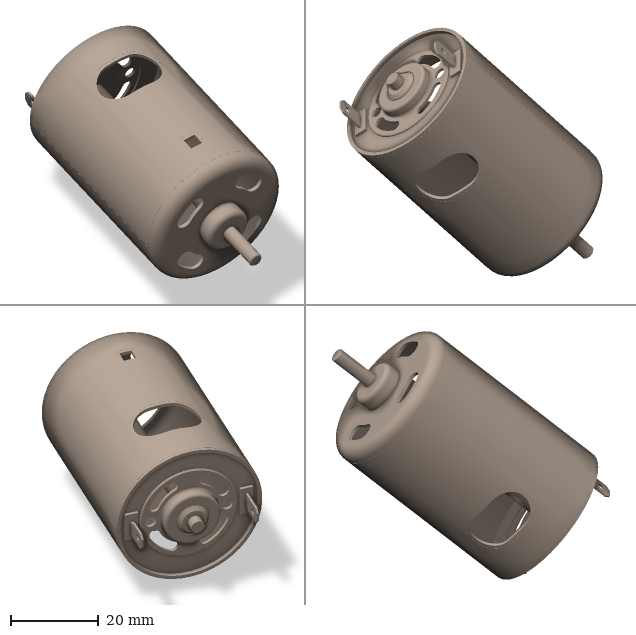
import cadquery as cq
import math


label_radius = 17.75
label_height = 0.035
can_radius = label_radius - label_height
can_wall = 0.85
can_inner_radius = can_radius - can_wall
can_end_x = 50.05
can_end_round = 2.6
nose_radius = 5.5
nose_end_x = 54.0
nose_round = 1.15

label_start_x = 0.8
label_end_x = 46.6
label_gap = 0.65
label_margin = 0.8

window_x = 14.25
window_width = 10.0
window_length = 16.0
square_hole_x = 39.5
square_hole_side = 3.0
front_vent_radius = 11.6
front_vent_width = 4.1
front_vent_half_angle = 11.0

bell_face_x = 1.0
bell_thickness = 0.7
bell_inner_x = bell_face_x + bell_thickness

pad_width = 3.1
pad_height = 7.1
pad_thickness = 0.7
terminal_offset = 14.05

plate_radius = 11.9
plate_rise = 0.5
plate_thickness = 0.7
plate_chamfer = 0.2
plate_face_x = bell_face_x - plate_rise
plate_inner_x = plate_face_x + plate_thickness
boss_radius = 6.8
boss_end_x = -2.15
boss_round = 0.65
boss_root_round = 0.4
hub_base_radius = 3.8
hub_tip_radius = 2.9
hub_end_x = -2.9
hub_groove_radius = 4.05
hub_groove_depth = 0.2

vent_radius = 9.3
vent_width = 2.6
vent_half_angle = 20.0
vent_angles = (45, 135, 225, 315)
round_hole_offset = 9.35
round_hole_diameter = 2.7

shaft_radius = 1.65
shaft_start_x = -5.3
shaft_end_x = 64.6
shaft_drive_chamfer = 0.2
shaft_tail_chamfer = 0.1
shaft_flat_start_x = 54.6
shaft_flat_depth = 0.2

terminal_tip_x = -6.7
terminal_width = 4.1
terminal_thickness = 0.5
terminal_corner = 1.0
terminal_hole_diameter = 1.6
terminal_hole_x = -4.1
terminal_shoulder_x = -0.8
terminal_notch = 0.65


def cylinder(radius, start_x, end_x):
    """Solid cylinder on the motor axis."""
    return cq.Workplane("YZ", origin=(start_x, 0, 0)).circle(radius).extrude(end_x - start_x)


def arc_slot(radius, width, half_angle, mid_angle, start_x, end_x):
    """Cutter for a round-ended slot that follows a circle about the motor axis."""

    def point(r, angle):
        a = math.radians(mid_angle + angle)
        return (r * math.cos(a), r * math.sin(a))

    outer = radius + width / 2
    inner = radius - width / 2
    end_overrun = math.degrees(width / 2 / radius)
    return (
        cq.Workplane("YZ", origin=(start_x, 0, 0))
        .moveTo(*point(outer, -half_angle))
        .threePointArc(point(outer, 0), point(outer, half_angle))
        .threePointArc(point(radius, half_angle + end_overrun), point(inner, half_angle))
        .threePointArc(point(inner, 0), point(inner, -half_angle))
        .threePointArc(point(radius, -half_angle - end_overrun), point(outer, -half_angle))
        .close()
        .extrude(end_x - start_x)
    )


def window_cutter(margin):
    """Slot through the top and bottom of the can, widened by a margin."""
    return (
        cq.Workplane("XY", origin=(window_x, 0, 0))
        .slot2D(window_length + 2 * margin, window_width + 2 * margin, 90)
        .extrude(label_radius + 0.7, both=True)
    )


def square_cutter(margin):
    """Square opening through the top of the can, widened by a margin."""
    side = square_hole_side + 2 * margin
    return cq.Workplane("XY", origin=(square_hole_x, 0, 0)).rect(side, side).extrude(label_radius + 0.7)


def make_label_band():
    """Thin raised band with clearances round the openings and a gap on the -Y side."""
    band = cylinder(label_radius, label_start_x, label_end_x)
    band = band.cut(cylinder(can_radius - can_wall / 2, label_start_x, label_end_x))
    gap = cq.Workplane("XZ").rect(2 * can_end_x, label_gap).extrude(label_radius + 0.7)
    return band.cut(window_cutter(label_margin)).cut(square_cutter(label_margin)).cut(gap)


def make_can():
    """Drawn can with a bearing nose, openings and the raised label band."""
    can = cylinder(can_radius, 0, can_end_x).faces(">X").edges().fillet(can_end_round)
    can = can.cut(
        cylinder(can_inner_radius, 0, can_end_x - can_wall)
        .faces(">X").edges().fillet(can_end_round - can_wall)
    )
    nose = cylinder(nose_radius, can_end_x - can_wall, nose_end_x).faces(">X").edges().fillet(nose_round)
    can = can.union(nose).union(make_label_band())
    can = can.cut(window_cutter(0)).cut(square_cutter(0))
    for angle in vent_angles:
        can = can.cut(
            arc_slot(
                front_vent_radius, front_vent_width, front_vent_half_angle, angle,
                can_end_x - 2 * can_wall, can_end_x + can_wall,
            )
        )
    return can.cut(cylinder(shaft_radius, 0, nose_end_x))


def make_terminal():
    """Flat terminal at -Y: chamfered tip, cross hole, and a shank notched at the bottom."""
    half = terminal_width / 2
    blade = (
        cq.Workplane("XZ", origin=(0, terminal_thickness / 2 - terminal_offset, 0))
        .moveTo(terminal_tip_x, half - terminal_corner)
        .lineTo(terminal_tip_x + terminal_corner, half)
        .lineTo(bell_inner_x, half)
        .lineTo(bell_inner_x, terminal_notch - half)
        .lineTo(terminal_shoulder_x, terminal_notch - half)
        .lineTo(terminal_shoulder_x, -half)
        .lineTo(terminal_tip_x + terminal_corner, -half)
        .lineTo(terminal_tip_x, terminal_corner - half)
        .close()
        .extrude(terminal_thickness)
    )
    hole = (
        cq.Workplane("XZ", origin=(terminal_hole_x, 0, 0))
        .circle(terminal_hole_diameter / 2)
        .extrude(2 * terminal_offset)
    )
    return blade.cut(hole)


def make_end_bell(terminals):
    """Ring inside the can with two terminal pads and a slot for each terminal."""
    bell = cylinder(can_inner_radius, bell_face_x, bell_inner_x)
    pads = (
        cq.Workplane("YZ", origin=(bell_face_x - pad_thickness, 0, 0))
        .pushPoints([(-terminal_offset, 0), (terminal_offset, 0)])
        .rect(pad_width, pad_height)
        .extrude(pad_thickness)
    )
    bell = bell.union(pads).cut(cylinder(plate_radius, bell_face_x, bell_inner_x))
    for terminal in terminals:
        bell = bell.cut(terminal)
    return bell


def make_bearing_plate():
    """Vented turned plate: chamfered rim, rounded boss and a tapered hub with a groove at its foot."""
    diagonal = math.sqrt(0.5)
    root_x = plate_face_x - boss_root_round
    root_radius = boss_radius + boss_root_round
    shoulder_x = boss_end_x + boss_round
    shoulder_radius = boss_radius - boss_round
    groove_x = boss_end_x + hub_groove_depth
    plate = (
        cq.Workplane("XY")
        .moveTo(plate_inner_x, shaft_radius)
        .lineTo(plate_inner_x, plate_radius)
        .lineTo(plate_face_x + plate_chamfer, plate_radius)
        .lineTo(plate_face_x, plate_radius - plate_chamfer)
        .lineTo(plate_face_x, root_radius)
        .threePointArc(
            (root_x + boss_root_round * diagonal, root_radius - boss_root_round * diagonal),
            (root_x, boss_radius),
        )
        .lineTo(shoulder_x, boss_radius)
        .threePointArc(
            (shoulder_x - boss_round * diagonal, shoulder_radius + boss_round * diagonal),
            (boss_end_x, shoulder_radius),
        )
        .lineTo(boss_end_x, hub_groove_radius)
        .lineTo(groove_x, hub_groove_radius)
        .lineTo(groove_x, hub_base_radius)
        .lineTo(boss_end_x, hub_base_radius)
        .lineTo(hub_end_x, hub_tip_radius)
        .lineTo(hub_end_x, shaft_radius)
        .close()
        .revolve(360, (0, 0, 0), (1, 0, 0))
    )
    for angle in vent_angles:
        plate = plate.cut(
            arc_slot(vent_radius, vent_width, vent_half_angle, angle, plate_face_x, plate_inner_x)
        )
    holes = (
        cq.Workplane("YZ", origin=(plate_face_x, 0, 0))
        .pushPoints([(-round_hole_offset, 0), (round_hole_offset, 0)])
        .circle(round_hole_diameter / 2)
        .extrude(plate_thickness)
    )
    return plate.cut(holes)


def make_shaft():
    """Round shaft with chamfered ends and a flat on the +Y side of its drive end."""
    shaft = cylinder(shaft_radius, shaft_start_x, shaft_end_x)
    shaft = shaft.faces(">X").edges().chamfer(shaft_drive_chamfer)
    shaft = shaft.faces("<X").edges().chamfer(shaft_tail_chamfer)
    flat_length = shaft_end_x - shaft_flat_start_x
    flat = cq.Workplane("XY").box(flat_length, shaft_radius, 2 * shaft_radius, centered=(False, False, True))
    return shaft.cut(flat.translate((shaft_flat_start_x, shaft_radius - shaft_flat_depth, 0)))


can = make_can()
terminals = [make_terminal().rotate((0, 0, 0), (1, 0, 0), turn) for turn in (0, 180)]
end_bell = make_end_bell(terminals)
bearing_plate = make_bearing_plate()
shaft = make_shaft()

result = cq.Compound.makeCompound(
    [
        can.val(),
        end_bell.val(),
        bearing_plate.val(),
        shaft.val(),
        *[terminal.val() for terminal in terminals],
    ]
)